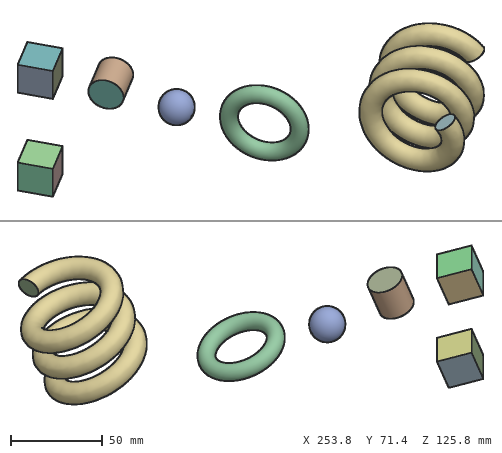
import cadquery as cq
import math

block_size = 20.0
item_spacing = 40.0
lower_cube_drop = 70.0
half_block = block_size / 2

ring_x = 130.0
ring_radius = 20.0
ring_tube_radius = ring_radius / 4

coil_radius = 25.0
coil_wire_radius = 6.3
coil_pitch = 18.8
coil_turns = 3
coil_x = 211.7
coil_y = 0
coil_z = 11.5
coil_start_angle = 32
coil_rise_angle = 3.3
coil_drift_angle = 1.2


def make_cube(z):
    """Cube centred at X = 0 and height z, with its front face at Y = 0."""
    return cq.Workplane("XY").box(block_size, block_size, block_size).translate((0, half_block, z))


def make_peg():
    """Cylinder along Y, starting at Y = 0."""
    start = cq.Workplane("XZ", origin=(item_spacing, 0, 0))
    return start.circle(half_block).extrude(-block_size)


def make_ball():
    return cq.Workplane("XY").sphere(half_block).translate((2 * item_spacing, 0, 0))


def make_ring():
    """Circular tube section revolved about an axis parallel to Y."""
    section = cq.Workplane("XY", origin=(ring_x, 0, 0)).center(ring_radius, 0).circle(ring_tube_radius)
    return section.revolve(360, (-ring_radius, 0), (-ring_radius, 1))


def make_coil():
    """Round wire swept along a helix around the tilted axis."""
    axis = cq.Vector(
        math.tan(math.radians(coil_drift_angle)),
        1,
        math.tan(math.radians(coil_rise_angle)),
    ).normalized()
    start = math.radians(coil_start_angle)
    radial = cq.Vector(math.cos(start), 0, math.sin(start))
    radial = (radial - axis * radial.dot(axis)).normalized()
    start_centre = cq.Vector(coil_x, coil_y, coil_z) + radial * coil_radius
    base = cq.Plane(origin=(coil_x, coil_y, coil_z), xDir=radial, normal=axis)

    helix = cq.Wire.makeHelix(coil_pitch, coil_pitch * coil_turns, coil_radius)
    path = cq.Workplane("XY").add(helix.moved(cq.Location(base)))
    section = cq.Workplane(cq.Plane(origin=start_centre, xDir=radial, normal=radial.cross(axis)))
    return section.circle(coil_wire_radius).sweep(path, isFrenet=True)


cubes = [make_cube(z) for z in (0, -lower_cube_drop)]
peg = make_peg()
ball = make_ball()
ring = make_ring()
coil = make_coil()

result = cq.Compound.makeCompound([
    *[cube.val() for cube in cubes],
    peg.val(),
    ball.val(),
    ring.val(),
    coil.val(),
])